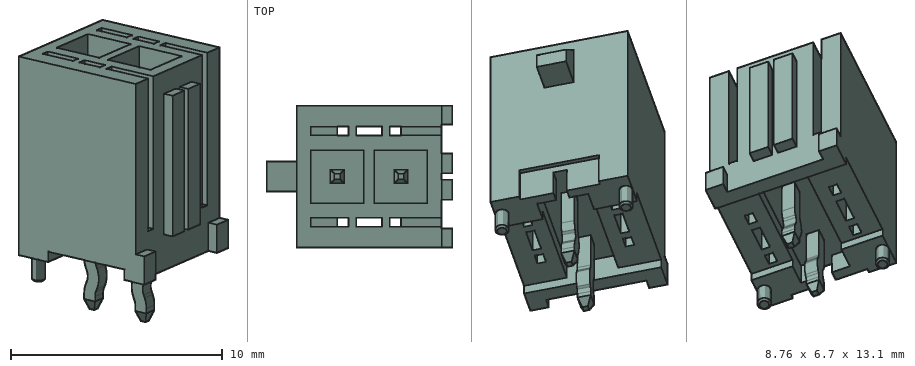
import cadquery as cq
import math


body_length = 6.85
body_width = 6.7
body_height = 9.9
body_left = -body_length / 2
body_right = body_length / 2

pitch = 3.0
terminal_places = (-pitch / 2, pitch / 2)
cavity_size = 2.5
cavity_floor = 2.3
cavities_end = (pitch + cavity_size) / 2

slot_inner_y = 1.945
slot_outer_y = 2.36
slot_bridge = 0.375
middle_slot_length = 1.21
through_half_length = pitch / 2

hook_reach = 1.41
hook_width = 1.43
hook_bottom = 7.1
hook_nose_top = 7.9

ledge = 0.5
foot_width = 0.9
foot_height = 1.41
rib_width = 0.95
rib_offset = 0.62
rib_bottom = 1.79
rib_top = 8.8

notch_left = -1.71
notch_height = 0.52
hollow_height = foot_height
recess_width = 2 * slot_inner_y
recess_depth = 0.2

peg_diameter = 0.65
peg_length = 1.15
peg_chamfer = 0.1
peg_x = -2.5
peg_y = (body_width - peg_diameter) / 2

wire = 0.65
point_tip = 0.27
point_length = 0.52
terminal_top = 7.0
tail_bottom = body_height - 13.1
kink_start = -0.61
kink_radius = 0.975
kink_angle = math.radians(23)
kink_straight_drop = 0.14


def box(x_min, x_max, y_min, y_max, z_min, z_max):
    """Rectangular block between the given limits."""
    block = cq.Workplane("XY").box(x_max - x_min, y_max - y_min, z_max - z_min, centered=False)
    return block.translate((x_min, y_min, z_min))


def make_hook():
    """Latch hook with a sloped top."""
    nose = body_left - hook_reach
    return (
        cq.Workplane("XZ")
        .moveTo(body_left, hook_bottom)
        .lineTo(nose, hook_bottom)
        .lineTo(nose, hook_nose_top)
        .lineTo(body_left, hook_nose_top + hook_reach)
        .close()
        .extrude(hook_width / 2, both=True)
    )


def make_pegs():
    """Two round locating pegs with chamfered ends."""
    return (
        cq.Workplane("XY")
        .pushPoints([(peg_x, -peg_y), (peg_x, peg_y)])
        .circle(peg_diameter / 2)
        .extrude(-peg_length)
        .faces("<Z")
        .chamfer(peg_chamfer)
    )


def make_slots():
    """Slots along both long walls: stepped end slots and a through middle slot."""
    middle_end = middle_slot_length / 2
    end_start = middle_end + slot_bridge
    spans = [
        (-cavities_end, -end_start, cavity_floor),
        (-through_half_length, -end_start, 0),
        (-middle_end, middle_end, 0),
        (end_start, through_half_length, 0),
        (end_start, body_right, cavity_floor),
    ]
    slots = cq.Workplane("XY")
    for x_min, x_max, floor in spans:
        slot = box(x_min, x_max, slot_inner_y, slot_outer_y, floor, body_height)
        slots = slots.union(slot).union(slot.mirror("XZ"))
    return slots


def make_underside_cuts():
    """Stand-off notch, hollow around the tails, end recess and its slot."""
    notch = box(notch_left, cavities_end, -body_width / 2, body_width / 2, 0, notch_height)
    hollow = box(-cavities_end, cavities_end, -cavity_size / 2, cavity_size / 2, 0, hollow_height)
    recess = box(
        body_left, body_left + recess_depth,
        -recess_width / 2, recess_width / 2,
        0, rib_bottom,
    )
    wall_slot = box(body_left, -cavities_end, -wire / 2, wire / 2, 0, hollow_height)
    return notch.union(hollow).union(recess).union(wall_slot)


def make_housing():
    """Housing with open terminal holes through the cavity floors."""
    body = box(body_left, body_right, -body_width / 2, body_width / 2, 0, body_height)
    body = body.union(make_hook()).union(make_pegs())

    foot = box(
        cavities_end, body_right + ledge,
        body_width / 2 - foot_width, body_width / 2,
        0, foot_height,
    )
    rib = box(
        cavities_end, body_right + ledge,
        rib_offset - rib_width / 2, rib_offset + rib_width / 2,
        rib_bottom, rib_top,
    )
    for block in (foot, rib):
        body = body.union(block).union(block.mirror("XZ"))

    for x in terminal_places:
        cavity = box(
            x - cavity_size / 2, x + cavity_size / 2,
            -cavity_size / 2, cavity_size / 2,
            cavity_floor, body_height,
        )
        terminal_hole = box(x - wire / 2, x + wire / 2, -wire / 2, wire / 2, 0, cavity_floor)
        body = body.cut(cavity).cut(terminal_hole)

    return body.cut(make_slots()).cut(make_underside_cuts())


def make_terminal(x):
    """Terminal at x whose tail kinks towards the middle of the part."""
    inward = -math.copysign(1, x)
    shaft_top = terminal_top - point_length
    tail_end = tail_bottom + point_length

    arc_drop = kink_radius * math.sin(kink_angle)
    arc_shift = kink_radius * (1 - math.cos(kink_angle))
    straight_shift = kink_straight_drop * math.tan(kink_angle)
    z_slant_top = kink_start - arc_drop
    z_slant_bottom = z_slant_top - kink_straight_drop
    z_middle = z_slant_bottom - arc_drop
    x_slant_top = x + inward * arc_shift
    x_slant_bottom = x_slant_top + inward * straight_shift
    x_middle = x_slant_bottom + inward * arc_shift

    path = (
        cq.Workplane("XZ")
        .moveTo(x, shaft_top)
        .lineTo(x, kink_start)
        .tangentArcPoint((x_slant_top, z_slant_top), relative=False)
        .lineTo(x_slant_bottom, z_slant_bottom)
        .tangentArcPoint((x_middle, z_middle), relative=False)
        .tangentArcPoint((x_slant_bottom, 2 * z_middle - z_slant_bottom), relative=False)
        .lineTo(x_slant_top, 2 * z_middle - z_slant_top)
        .tangentArcPoint((x, 2 * z_middle - kink_start), relative=False)
        .lineTo(x, tail_end)
    )

    def wire_section(z):
        return cq.Workplane("XY", origin=(x, 0, z)).rect(wire, wire)

    taper = math.degrees(math.atan((wire - point_tip) / 2 / point_length))
    shaft = wire_section(shaft_top).sweep(path)
    upper_point = wire_section(shaft_top).extrude(point_length, taper=taper)
    lower_point = wire_section(tail_end).extrude(-point_length, taper=taper)
    return shaft.union(upper_point).union(lower_point)


housing = make_housing().solids()
terminals = [make_terminal(x).solids() for x in terminal_places]

result = cq.Compound.makeCompound([housing.val(), *[terminal.val() for terminal in terminals]])